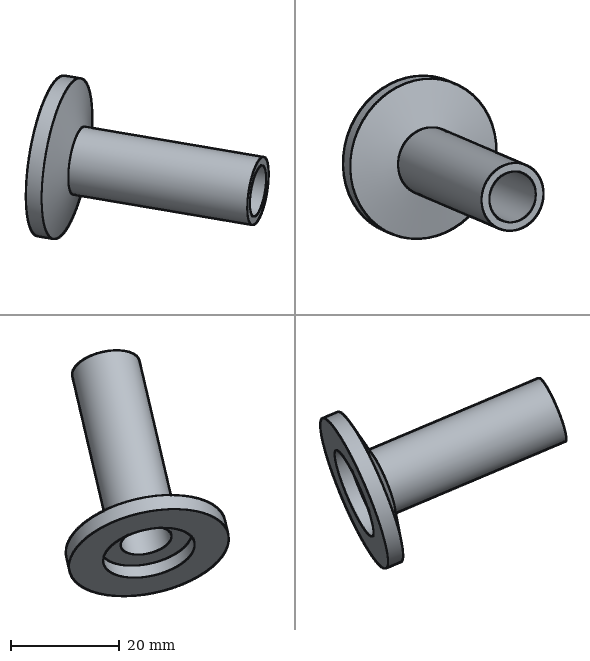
import cadquery as cq
import math

total_length = 40.0
flange_diameter = 30.0
rim_thickness = 3.1
clamp_angle = 15.0
tube_diameter = 12.72
bore_diameter = 9.52
recess_diameter = 17.15
recess_depth = 2.6

flange_radius = flange_diameter / 2
tube_radius = tube_diameter / 2
cone_length = (flange_radius - tube_radius) * math.tan(math.radians(clamp_angle))
cone_end = rim_thickness + cone_length

body = (
    cq.Workplane("XZ")
    .moveTo(0, 0)
    .lineTo(0, flange_radius)
    .lineTo(rim_thickness, flange_radius)
    .lineTo(cone_end, tube_radius)
    .lineTo(total_length, tube_radius)
    .lineTo(total_length, 0)
    .close()
    .revolve(360, (0, 0, 0), (1, 0, 0))
)


def axial_cylinder(diameter, length):
    """Cylinder along +X starting at the sealing face."""
    return cq.Workplane("YZ").circle(diameter / 2).extrude(length)


bore = axial_cylinder(bore_diameter, total_length)
recess = axial_cylinder(recess_diameter, recess_depth)

result = body.cut(bore).cut(recess)